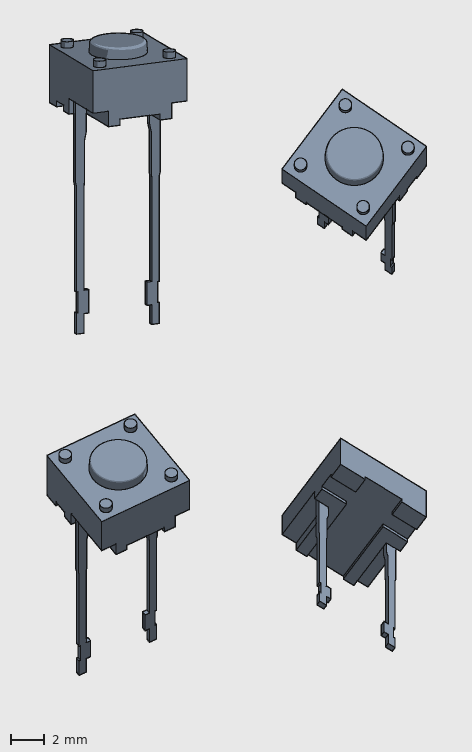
import cadquery as cq

total_height = 17.95
body_width = 6.2
body_height = 3.6
button_height = 0.7
body_top = total_height - button_height
body_bottom = body_top - body_height

button_base_diameter = 3.5
button_top_diameter = 3.41
button_rim_radius = 0.16

pin_diameter = 0.75
pin_height = 0.4
pin_pitch = 4.6

groove_depth = 0.38
wide_groove_width = 2.64
narrow_groove_width = 0.97
narrow_groove_center = -1.6

leg_thickness = 0.3
leg_face_x = -0.35
leg_outer_upper = 2.78
leg_inner_upper = 2.08
leg_inner_middle = 2.19
leg_outer_lower = 2.73
leg_inner_lower = 2.23
tab_inner = 1.92
notch_outer = 2.62

upper_step_top = 12.51
upper_step_bottom = 12.0
lower_step_top = 9.4
lower_step_bottom = 9.19
tab_top = 2.67
tab_bottom = 1.22
notch_top = 2.62
notch_bottom = 1.31

recess_height = 0.97
recess_top = body_bottom + recess_height


def make_body():
    """Square block with a wide groove along X and a narrow groove along Y in its underside."""
    block = cq.Workplane("XY", origin=(0, 0, body_bottom)).rect(body_width, body_width).extrude(body_height)
    underside = cq.Workplane("XY", origin=(0, 0, body_bottom))
    wide_groove = underside.rect(body_width, wide_groove_width).extrude(groove_depth)
    narrow_groove = (
        underside.center(narrow_groove_center, 0)
        .rect(narrow_groove_width, body_width)
        .extrude(groove_depth)
    )
    return block.cut(wide_groove).cut(narrow_groove)


def make_recess():
    """Cutter for the -Y side: from the leg to the +X face, as deep as the leg's inner edge."""
    length = body_width / 2 - leg_face_x
    depth = body_width / 2 - leg_inner_upper
    return cq.Workplane("XY", origin=(leg_face_x, -body_width / 2, body_bottom)).box(
        length, depth, recess_height, centered=False
    )


def make_button():
    """Tapered button with a rounded top rim."""
    return (
        cq.Workplane("XY", origin=(0, 0, body_top))
        .circle(button_base_diameter / 2)
        .workplane(offset=button_height)
        .circle(button_top_diameter / 2)
        .loft()
        .faces(">Z")
        .edges()
        .fillet(button_rim_radius)
    )


def make_pins():
    """Four short round pins near the corners of the top face."""
    return (
        cq.Workplane("XY", origin=(0, 0, body_top))
        .rect(pin_pitch, pin_pitch, forConstruction=True)
        .vertices()
        .circle(pin_diameter / 2)
        .extrude(pin_height)
    )


def make_leg():
    """Leg on the -Y side, with two tapered steps and a tab offset towards the middle."""
    outer_edge = [
        (-leg_outer_upper, recess_top),
        (-leg_outer_upper, lower_step_top),
        (-leg_outer_lower, lower_step_bottom),
        (-leg_outer_lower, notch_top),
        (-notch_outer, notch_top),
        (-notch_outer, notch_bottom),
        (-leg_outer_lower, notch_bottom),
        (-leg_outer_lower, 0),
    ]
    inner_edge = [
        (-leg_inner_lower, 0),
        (-leg_inner_lower, tab_bottom),
        (-tab_inner, tab_bottom),
        (-tab_inner, tab_top),
        (-leg_inner_lower, tab_top),
        (-leg_inner_lower, lower_step_bottom),
        (-leg_inner_middle, lower_step_top),
        (-leg_inner_middle, upper_step_bottom),
        (-leg_inner_upper, upper_step_top),
        (-leg_inner_upper, recess_top),
    ]
    return (
        cq.Workplane("YZ", origin=(leg_face_x, 0, 0))
        .polyline(outer_edge + inner_edge)
        .close()
        .extrude(leg_thickness)
    )


recess = make_recess()
leg = make_leg()
result = make_body().cut(recess).cut(recess.mirror("XZ"))
result = result.union(make_button()).union(make_pins())
result = result.union(leg).union(leg.mirror("XZ"))